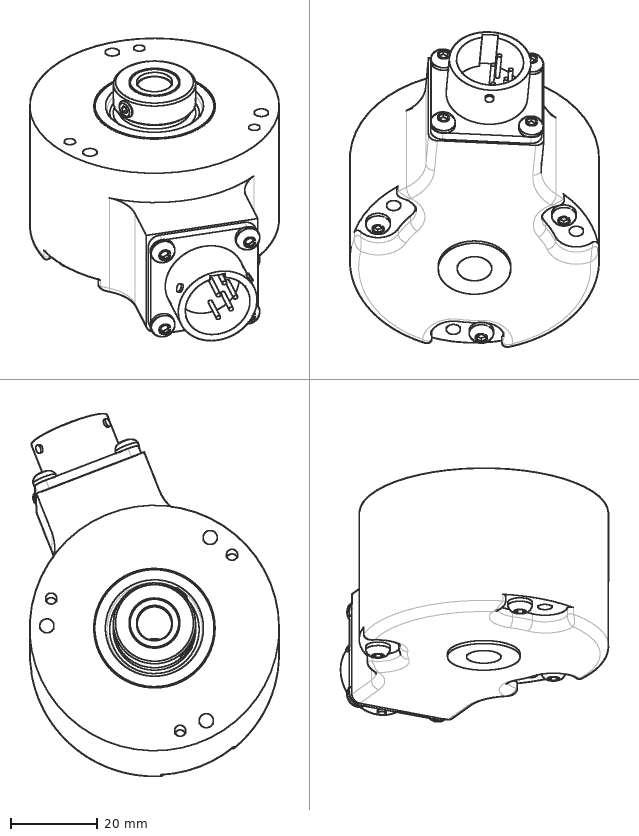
import cadquery as cq
import math


BODY_RADIUS = 29.0
BODY_HEIGHT = 35.0
BOTTOM_FILLET = 2.0

BLOCK_ANGLE = -30.0
BLOCK_REACH = 41.0
BLOCK_WIDTH = 26.9
BLOCK_HEIGHT = 26.9
BLOCK_BLEND = 10.0
BLOCK_HALF = BLOCK_WIDTH / 2

HOLE_CIRCLE = 25.0
PAIR_ANGLES = (-90.0, 30.0, 150.0)
HOLE_HALF_ANGLE = 7.5
THROUGH_DIAMETER = 3.3
BLIND_DIAMETER = 2.6
BLIND_DEPTH = 6.0

SLOT_RADIUS = 5.2
SLOT_HEIGHT = 3.6
SLOT_LIP_RADIUS = 0.8

HEXAGON_SIDES = 6

HEAD_RADIUS = 2.85
HEAD_TIP_RADIUS = 1.4
HEAD_LIP = 0.85
HEAD_HEIGHT = 2.3
HEAD_BULGE = 0.22
HEAD_SOCKET = 2.0
HEAD_SOCKET_DEPTH = 1.0

NECK_RADIUS = 8.45
BOSS_HEIGHT = 0.75
BORE_RADIUS = 4.0
BORE_MOUTH_RADIUS = 4.15
BORE_MOUTH_DEPTH = 1.1
SHAFT_RADIUS = 5.65
SHAFT_GROOVE = 0.25
COLLAR_RADIUS = 9.55
COLLAR_BOTTOM = BODY_HEIGHT + 0.4
COLLAR_TOP = BODY_HEIGHT + 6.55
COLLAR_CHAMFER = 0.5
RECESS_TOP_RADIUS = 11.4
RECESS_MIDDLE_RADIUS = 11.05
RECESS_FLOOR_RADIUS = 10.4
RECESS_DEPTH = 2.0
FLARE_RADIUS = 9.6
RING_RADIUS = 14.1
RING_GROOVE = 0.25

SET_SCREW_ANGLES = (180.0, -90.0)
SET_SCREW_RADIUS = 2.05
SET_SCREW_TIP_RADIUS = 1.65
SET_SCREW_REACH = 10.0
SET_SCREW_TAPER = SET_SCREW_RADIUS - SET_SCREW_TIP_RADIUS
SET_SCREW_SOCKET = 1.5
SET_SCREW_SOCKET_DEPTH = 1.2

PLATE_SIZE = 25.9
PLATE_FACE = 43.2
SCREW_SPACING = 20.5
PLATE_CORNER = (PLATE_SIZE - SCREW_SPACING) / 2
SHELL_RADIUS = 9.5
SHELL_INNER_RADIUS = 7.8
SHELL_END = 54.5
SHELL_FLOOR = 45.0
KEYWAY_WIDTH = 3.7
KEYWAY_RADIUS = 8.55
BAYONET_ANGLES = (30.0, 150.0, 270.0)
BAYONET_RADIUS = 1.0
BAYONET_REACH = 10.0
BAYONET_POSITION = 52.0
PIN_RADIUS = 0.5
PIN_END = 52.0
PIN_CIRCLE = 5.0
PIN_ANGLES = (0.0, -38.0, -80.0, 62.0)
INNER_PIN = (0.9, 1.3)


def polar(radius, angle):
    """Point at a radius and an angle in degrees."""
    a = math.radians(angle)
    return radius * math.cos(a), radius * math.sin(a)


def cylinder(radius, z_low, z_high):
    return cq.Workplane("XY").workplane(offset=z_low).circle(radius).extrude(z_high - z_low)


def connector_plane(distance):
    """Plane facing along the connector; local x is horizontal and local y is up."""
    x, y = polar(distance, BLOCK_ANGLE)
    across = polar(1, BLOCK_ANGLE + 90)
    along = polar(1, BLOCK_ANGLE)
    return cq.Plane(origin=(x, y, BLOCK_HEIGHT / 2), xDir=(*across, 0), normal=(*along, 0))


def make_block():
    """Connector block, blended into the round housing by two concave arcs."""
    centre_y = BLOCK_HALF + BLOCK_BLEND
    centre_distance = BODY_RADIUS + BLOCK_BLEND
    centre_x = math.sqrt(centre_distance**2 - centre_y**2)
    touch_angle = math.degrees(math.asin(centre_y / centre_distance))
    touch_x, touch_y = polar(BODY_RADIUS, touch_angle)
    middle_angle = (touch_angle + 180 + 270) / 2
    offset_x, offset_y = polar(BLOCK_BLEND, middle_angle)
    middle_x = centre_x + offset_x
    middle_y = centre_y + offset_y
    outline = (
        cq.Workplane("XY")
        .moveTo(touch_x, touch_y)
        .threePointArc((middle_x, middle_y), (centre_x, BLOCK_HALF))
        .lineTo(BLOCK_REACH, BLOCK_HALF)
        .lineTo(BLOCK_REACH, -BLOCK_HALF)
        .lineTo(centre_x, -BLOCK_HALF)
        .threePointArc((middle_x, -middle_y), (touch_x, -touch_y))
        .lineTo(0, 0)
        .close()
    )
    return outline.extrude(BLOCK_HEIGHT).rotate((0, 0, 0), (0, 0, 1), BLOCK_ANGLE)


def make_relief_slot(angle):
    """Slot following the hole circle, open towards the rim, with rounded mouth corners."""
    inner = HOLE_CIRCLE - SLOT_RADIUS
    corner_distance = BODY_RADIUS - SLOT_LIP_RADIUS
    reach = SLOT_RADIUS + SLOT_LIP_RADIUS
    cosine = (corner_distance**2 + HOLE_CIRCLE**2 - reach**2) / (2 * corner_distance * HOLE_CIRCLE)
    lip_angle = HOLE_HALF_ANGLE + math.degrees(math.acos(cosine))
    end_x, end_y = polar(HOLE_CIRCLE, HOLE_HALF_ANGLE)
    lip_x, lip_y = polar(corner_distance, lip_angle)
    rim_x, rim_y = polar(BODY_RADIUS, lip_angle)
    share = SLOT_RADIUS / reach
    touch_x = end_x + share * (lip_x - end_x)
    touch_y = end_y + share * (lip_y - end_y)
    start_x, start_y = polar(inner, HOLE_HALF_ANGLE)
    touch_heading = math.degrees(math.atan2(touch_y - end_y, touch_x - end_x))
    bulge_x, bulge_y = polar(SLOT_RADIUS, (touch_heading + 180 + HOLE_HALF_ANGLE) / 2)
    lip_mid_x, lip_mid_y = polar(SLOT_LIP_RADIUS, (touch_heading - 180 + lip_angle) / 2)
    outside = BODY_RADIUS + SLOT_RADIUS
    outline = (
        cq.Workplane("XY")
        .moveTo(start_x, -start_y)
        .threePointArc((inner, 0), (start_x, start_y))
        .threePointArc((end_x + bulge_x, end_y + bulge_y), (touch_x, touch_y))
        .threePointArc((lip_x + lip_mid_x, lip_y + lip_mid_y), (rim_x, rim_y))
        .lineTo(outside, rim_y)
        .lineTo(outside, -rim_y)
        .lineTo(rim_x, -rim_y)
        .threePointArc((lip_x + lip_mid_x, -lip_y - lip_mid_y), (touch_x, -touch_y))
        .threePointArc((end_x + bulge_x, -end_y - bulge_y), (start_x, -start_y))
        .close()
    )
    return outline.extrude(SLOT_HEIGHT).rotate((0, 0, 0), (0, 0, 1), angle)


def make_housing():
    housing = cylinder(BODY_RADIUS, 0, BODY_HEIGHT).union(make_block())
    for angle in PAIR_ANGLES:
        housing = housing.cut(make_relief_slot(angle))
    rim = housing.faces("<Z").edges()
    plate_edge = rim.edges(cq.selectors.NearestToPointSelector((*polar(BLOCK_REACH, BLOCK_ANGLE), 0))).val()
    rounded_edges = [edge for edge in rim.vals() if not edge.isSame(plate_edge)]
    return housing.newObject(rounded_edges).fillet(BOTTOM_FILLET)


def make_dome_screw(plane):
    """Dome-head screw standing on the plane, with a hexagon socket."""
    bulge_radius = (HEAD_TIP_RADIUS + HEAD_RADIUS) / 2 + HEAD_BULGE
    bulge_height = (HEAD_LIP + HEAD_HEIGHT) / 2 + HEAD_BULGE
    head = (
        cq.Workplane("XZ")
        .lineTo(HEAD_RADIUS, 0)
        .lineTo(HEAD_RADIUS, HEAD_LIP)
        .threePointArc((bulge_radius, bulge_height), (HEAD_TIP_RADIUS, HEAD_HEIGHT))
        .lineTo(0, HEAD_HEIGHT)
        .close()
        .revolve(360, (0, 0, 0), (0, 1, 0))
    )
    socket = (
        cq.Workplane("XY")
        .workplane(offset=HEAD_HEIGHT - HEAD_SOCKET_DEPTH)
        .polygon(HEXAGON_SIDES, HEAD_SOCKET, circumscribed=True)
        .extrude(HEAD_SOCKET_DEPTH)
    )
    return cq.Workplane(head.cut(socket).val().moved(plane.location))


def add_mounting_holes(part):
    for angle in PAIR_ANGLES:
        through = polar(HOLE_CIRCLE, angle + HOLE_HALF_ANGLE)
        blind = polar(HOLE_CIRCLE, angle - HOLE_HALF_ANGLE)
        top = cq.Workplane("XY").workplane(offset=BODY_HEIGHT)
        part = part.cut(top.center(*through).circle(THROUGH_DIAMETER / 2).extrude(-BODY_HEIGHT))
        part = part.cut(top.center(*blind).circle(BLIND_DIAMETER / 2).extrude(-BLIND_DEPTH))
        seat = cq.Plane(origin=(*blind, SLOT_HEIGHT), xDir=(1, 0, 0), normal=(0, 0, -1))
        part = part.union(make_dome_screw(seat))
    return part


def add_bearing_recess(part):
    """Fine ring groove and a recess that tapers in two steps; the shaft flares at its foot."""
    ring = cylinder(RING_RADIUS, BODY_HEIGHT - RING_GROOVE, BODY_HEIGHT)
    ring = ring.cut(cylinder(RING_RADIUS - RING_GROOVE, 0, BODY_HEIGHT))
    recess = (
        cq.Workplane("XZ")
        .moveTo(0, BODY_HEIGHT)
        .lineTo(RECESS_TOP_RADIUS, BODY_HEIGHT)
        .lineTo(RECESS_MIDDLE_RADIUS, BODY_HEIGHT - RECESS_DEPTH / 2)
        .lineTo(RECESS_FLOOR_RADIUS, BODY_HEIGHT - RECESS_DEPTH)
        .lineTo(FLARE_RADIUS, BODY_HEIGHT - RECESS_DEPTH)
        .lineTo(NECK_RADIUS, BODY_HEIGHT - RECESS_DEPTH / 2)
        .lineTo(0, BODY_HEIGHT - RECESS_DEPTH / 2)
        .close()
        .revolve(360, (0, 0, 0), (0, 1, 0))
    )
    return part.cut(ring).cut(recess)


def make_set_screw(angle):
    """Set screw standing out of the collar with a tapered end, and its hexagon socket cutter."""
    middle = (COLLAR_BOTTOM + COLLAR_TOP) / 2
    outward = (*polar(1, angle), 0)
    tip = (*polar(SET_SCREW_REACH, angle), middle)
    plane = cq.Plane(origin=tip, xDir=(0, 0, 1), normal=outward)
    length = SET_SCREW_REACH - SHAFT_RADIUS - SHAFT_GROOVE
    screw = cq.Workplane(plane).circle(SET_SCREW_RADIUS).extrude(-length)
    screw = screw.faces(cq.selectors.DirectionMinMaxSelector(cq.Vector(*outward))).chamfer(SET_SCREW_TAPER)
    socket = cq.Workplane(plane).polygon(HEXAGON_SIDES, SET_SCREW_SOCKET, circumscribed=True)
    return screw, socket.extrude(-SET_SCREW_SOCKET_DEPTH)


def add_shaft(part):
    part = part.union(cylinder(NECK_RADIUS, -BOSS_HEIGHT, COLLAR_BOTTOM))
    collar = cylinder(COLLAR_RADIUS, COLLAR_BOTTOM, COLLAR_TOP).edges().chamfer(COLLAR_CHAMFER)
    part = part.union(collar)
    for angle in SET_SCREW_ANGLES:
        screw, socket = make_set_screw(angle)
        part = part.union(screw).cut(socket)
    groove = cylinder(SHAFT_RADIUS + SHAFT_GROOVE, COLLAR_TOP - SHAFT_GROOVE, COLLAR_TOP)
    groove = groove.cut(cylinder(SHAFT_RADIUS, 0, COLLAR_TOP))
    bore = cylinder(BORE_RADIUS, -BOSS_HEIGHT, COLLAR_TOP)
    mouth = cylinder(BORE_MOUTH_RADIUS, COLLAR_TOP - BORE_MOUTH_DEPTH, COLLAR_TOP)
    return part.cut(groove).cut(bore).cut(mouth)


def make_connector():
    """Flange plate, open shell with keyway and bayonet pegs, and contact pins."""
    plate = cq.Workplane(connector_plane(BLOCK_REACH)).rect(PLATE_SIZE, PLATE_SIZE)
    plate = plate.extrude(PLATE_FACE - BLOCK_REACH)
    along = cq.Vector(*polar(1, BLOCK_ANGLE), 0)
    plate = plate.edges(cq.selectors.ParallelDirSelector(along)).fillet(PLATE_CORNER)

    base = cq.Workplane(connector_plane(PLATE_FACE))
    shell = plate.union(base.circle(SHELL_RADIUS).extrude(SHELL_END - PLATE_FACE))
    for angle in BAYONET_ANGLES:
        plane = connector_plane(BAYONET_POSITION)
        outward = plane.toWorldCoords(polar(1, angle)) - plane.origin
        peg = cq.Workplane(cq.Plane(origin=plane.origin, xDir=along, normal=outward))
        shell = shell.union(peg.circle(BAYONET_RADIUS).extrude(BAYONET_REACH))

    floor = cq.Workplane(connector_plane(SHELL_FLOOR))
    depth = SHELL_END - SHELL_FLOOR
    shell = shell.cut(floor.circle(SHELL_INNER_RADIUS).extrude(depth))
    keyway = floor.center(0, KEYWAY_RADIUS / 2).rect(KEYWAY_WIDTH, KEYWAY_RADIUS)
    shell = shell.cut(keyway.extrude(depth))

    pins = [polar(PIN_CIRCLE, angle) for angle in PIN_ANGLES] + [INNER_PIN]
    shell = shell.union(floor.pushPoints(pins).circle(PIN_RADIUS).extrude(PIN_END - SHELL_FLOOR))

    for side in (-1, 1):
        for level in (-1, 1):
            plane = connector_plane(PLATE_FACE)
            plane.origin = plane.toWorldCoords((side * SCREW_SPACING / 2, level * SCREW_SPACING / 2))
            shell = shell.union(make_dome_screw(plane))
    return shell


housing = make_housing()
housing = add_bearing_recess(add_mounting_holes(housing))
result = add_shaft(housing).union(make_connector())